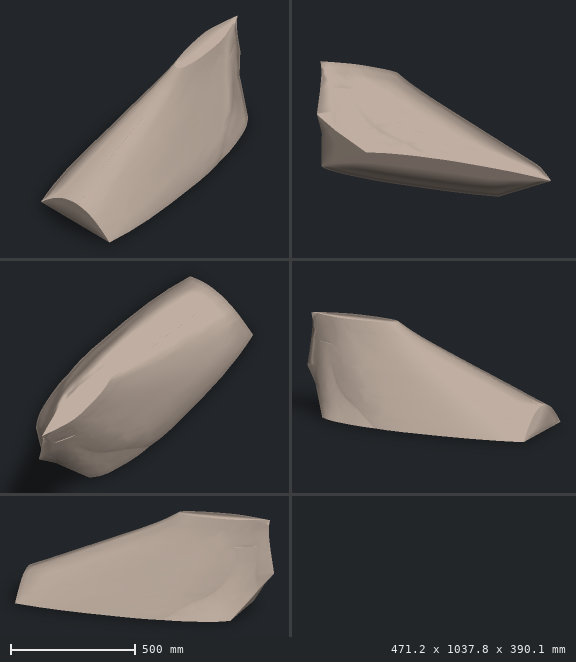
import cadquery as cq

HEIGHT = 390.13
FAIRING_WAIST_Z = 113.0
SHOULDER_Z = 282.0
MAX_HALF_WIDTH = 235.54

HULL_STATIONS = (0.02, 0.10, 0.20, 0.36, 0.50, 0.60, 0.67, 0.75, 0.83, 0.94)

BASE_NOSE, BASE_TAIL = -264.0, 1065.0
BASE_HALF_WIDTHS = (65, 135, 180, 219, 232, MAX_HALF_WIDTH, 229, 201, 155, 54)

SHOULDER_NOSE, SHOULDER_TAIL = 415.0, 1021.0
SHOULDER_HALF_WIDTHS = (27, 54, 70, 83, 86, 85, 82, 69, 50, 20)

TOP_NOSE, TOP_TAIL = 636.0, 1021.0
TOP_HALF_WIDTHS = (12.5, 26, 34, 40, 41.7, 40.5, 36.5, 29.5, 20.5, 8)

STRAIGHT_FLANK_LEVELS = (0.3, 0.6, 0.85)

FAIRING_BASE = (
    (300, 0), (330, 120), (420, 200), (540, 226), (640, 227), (713, 221),
    (788, 205), (863, 180), (903, 153), (941, 119), (985, 60), (1015, 0),
)
FAIRING_WAIST = (
    (450, 0), (480, 80), (550, 138), (640, 162), (700, 161.5), (760, 151),
    (829, 131.5), (870, 120), (905, 106), (940, 82), (984, 39), (1003, 0),
)
FAIRING_TOP = (
    (600, 0), (607, 25), (630, 50), (680, 70), (750, 77), (830, 73),
    (885, 63.5), (919, 52), (957, 35.5), (979, 22.5), (998, 0),
)

TAIL_CUT_START_Y = 903.0
TAIL_CUT_BEND = (988.0, 111.0)
TAIL_TIP = (1037.76, 167.0)

PAD_RISE = 0.6
SPINE_WEDGE_FRONT, SPINE_WEDGE_REAR = 140.0, SHOULDER_NOSE
SPINE_WEDGE_HALF_WIDTH = 8.0
NOSE_PAD_HALF_WIDTH = 17.0
NOSE_PAD_SHOULDER_HALF_WIDTH = 13.0
NOSE_PAD_SHOULDER_Y = 44.0
NOSE_PAD_TIP_Y = 58.0

ENVELOPE_HALF_WIDTH = 400.0


def foil_points(nose, tail, half_widths):
    """Half outline of a hull section, from nose to tail."""
    length = tail - nose
    flank = [(nose + f * length, w) for f, w in zip(HULL_STATIONS, half_widths)]
    return [(nose, 0)] + flank + [(tail, 0)]


def blend(lower, upper, fraction):
    """Half outline lying a given fraction of the way from lower to upper."""
    return [
        (y0 + fraction * (y1 - y0), w0 + fraction * (w1 - w0))
        for (y0, w0), (y1, w1) in zip(lower, upper)
    ]


def section_wire(half_outline, z):
    """Closed symmetric curve at height z, sharp at the tail and smooth round the nose."""
    left = [cq.Vector(-w, y, z) for y, w in reversed(half_outline)]
    right = [cq.Vector(w, y, z) for y, w in half_outline[1:]]
    return cq.Wire.assembleEdges([cq.Edge.makeSpline(left + right)])


def make_hull():
    base = foil_points(BASE_NOSE, BASE_TAIL, BASE_HALF_WIDTHS)
    shoulder = foil_points(SHOULDER_NOSE, SHOULDER_TAIL, SHOULDER_HALF_WIDTHS)
    top = foil_points(TOP_NOSE, TOP_TAIL, TOP_HALF_WIDTHS)
    wires = [section_wire(base, 0)]
    for level in STRAIGHT_FLANK_LEVELS:
        wires.append(section_wire(blend(base, shoulder, level), level * SHOULDER_Z))
    wires.append(section_wire(shoulder, SHOULDER_Z))
    wires.append(section_wire(top, HEIGHT))
    return cq.Workplane(obj=cq.Solid.makeLoft(wires))


def make_fairing():
    wires = [
        section_wire(FAIRING_BASE, 0),
        section_wire(FAIRING_WAIST, FAIRING_WAIST_Z),
        section_wire(FAIRING_TOP, SHOULDER_Z),
    ]
    return cq.Workplane(obj=cq.Solid.makeLoft(wires))


def raised_pad(hull, plan):
    """Patch of the hull surface, lifted by the pad rise, inside a plan outline."""
    column = cq.Workplane("XY").polyline(plan).close().extrude(HEIGHT)
    return hull.translate((0, 0, PAD_RISE)).intersect(column)


def spine_wedge_plan():
    return [
        (0, SPINE_WEDGE_FRONT),
        (SPINE_WEDGE_HALF_WIDTH, SPINE_WEDGE_REAR),
        (-SPINE_WEDGE_HALF_WIDTH, SPINE_WEDGE_REAR),
    ]


def nose_pad_plan():
    return [
        (-NOSE_PAD_HALF_WIDTH, 0),
        (NOSE_PAD_HALF_WIDTH, 0),
        (NOSE_PAD_SHOULDER_HALF_WIDTH, NOSE_PAD_SHOULDER_Y),
        (0, NOSE_PAD_TIP_Y),
        (-NOSE_PAD_SHOULDER_HALF_WIDTH, NOSE_PAD_SHOULDER_Y),
    ]


def side_envelope():
    """Side profile block that trims the front face and the sloping tail underside."""
    bend_y, bend_z = TAIL_CUT_BEND
    tip_y, tip_z = TAIL_TIP
    profile = [
        (0, 0), (TAIL_CUT_START_Y, 0), (bend_y, bend_z), (tip_y, tip_z),
        (tip_y, HEIGHT), (0, HEIGHT),
    ]
    return cq.Workplane("YZ").polyline(profile).close().extrude(ENVELOPE_HALF_WIDTH, both=True)


hull = make_hull()
body = hull.union(make_fairing())
body = body.union(raised_pad(hull, spine_wedge_plan()))
body = body.union(raised_pad(hull, nose_pad_plan()))
result = body.intersect(side_envelope())